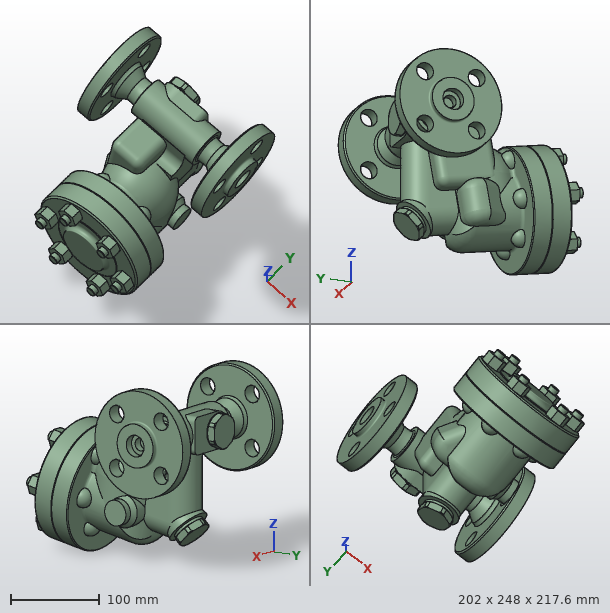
import cadquery as cq
import math

TILT = 10.0
CHAMBER_X = 7.7
CHAMBER_Z = -102.2

PIPE_D = 48.0
PIPE_HALF = 46.4
FACE_TO_FACE = 202.0
END_X = FACE_TO_FACE / 2
FLANGE_OUTER_X = 94.0
FLANGE_INNER_X = 76.9
FLANGE_D = 124.0
FLANGE_CHAMFER = 1.7
RAISED_FACE_D = 50.8
RAISED_FACE_FILLET = 2.0
SHOULDER_D = 38.0
NECK_D = 32.0
NECK_FLARE_D = 33.7
NECK_START_X = 47.5
NECK_X = 54.8
CONE_START_X = 60.0
CONE_END_X = 71.7
HUB_D = 46.5
HUB_ROUND_D = 47.5
HUB_BASE_D = 50.0
HUB_X = 74.0
BOLT_SPACING = 62.7
FLANGE_HOLE_D = 20.0
SOCKET_D = 25.0
SOCKET_DEPTH = 10.0
BORE_D = 15.0
BORE_DEPTH = 19.8

COVER_D = 145.0
BODY_FLANGE_REACH = 93.7
BODY_FLANGE_CHAMFER = 1.2
GASKET_REACH = 116.3
GASKET_THICK = 1.2
GASKET_D = 97.0
COVER_REACH = 141.8
COVER_CHAMFER = 2.0
COVER_PAD_D = 86.8
COVER_PAD_HEIGHT = 1.2
BOSS_D = 60.0
BOSS_REACH = 150.3
BOSS_FILLET = 5.0
BOSS_EDGE = 1.0

STUD_COUNT = 6
UPPER_STUDS = (1, 2)
STUD_CIRCLE_R = 57.0
STUD_D = 12.0
STUD_REACH = 161.2
STUD_CHAMFER = 0.5
NUT_FLATS = 22.0
NUT_HEIGHT = 12.6
UPPER_NUB_R = 12.5
LOWER_NUB_R = 11.7
LOWER_NUB_CIRCLE_R = 44.6

SHELL_R = 45.0
DOME_REACH = 60.3
DOME_Z = -69.5
BOTTOM_START = 16.0
BOTTOM_ROUND = 19.8
FLANGE_ROUND = 3.7

LUG_X = -48.8
LUG_WIDTH = 54.5
LUG_START = 22.8
LUG_ROUND = 20.3
LUG_SLOPE_START = 47.0
LUG_SLOPE_X = -32.2
LUG_END = 74.5
LUG_EDGE = 13.6

OUTLET_REACH = 41.0
OUTLET_D = 30.0
OUTLET_BASE_D = 39.7
OUTLET_BASE_X = 46.4
OUTLET_STEP_X = 52.5
OUTLET_X = 61.2

BLOCK_X = (-37.7, 8.7)
BLOCK_REACH = (-2.5, 70.7)
BLOCK_Z = (-81.8, -3.2)
BLOCK_FILLET = 10.0

NECK_BLOCK_X = (-29.8, 34.5)
DOME_BLEND_R = 12.5
BLEND_OVERLAP = 0.2

COLUMN_Y = -5.2
COLUMN_TOP_Z = -19.8
WEB_TOP_Y = -19.8
WEB_REACH = 29.8
COLUMN_D = PIPE_D
DRAIN_ANGLE = 45.0
DRAIN_FACE_Y = 5.0
DRAIN_FACE_Z = -110.3
DRAIN_BOSS_D = 50.8
DRAIN_BOSS_BASE_D = 44.6
DRAIN_BOSS_LENGTH = 17.4

PLUG_FLATS = 38.0
PLUG_CORNERS = 41.5
PLUG_HEIGHT = 9.0
PLUG_SEAT = 3.5
PLUG_CHAMFER = 1.0
PLUG_SEAT_D = 38.0

PAD_PLUG_X = -16.9
PAD_R = 22.0
PAD_END_X = 24.5
PAD_CORNER = 6.7
PAD_Y = 26.8
PAD_PLUG_HEIGHT = 9.7
PAD_SEAT = 1.2

ARC_MIDDLE = 1 - math.sqrt(0.5)

PICK_MARGIN = 0.2

X_DIR = cq.Vector(1, 0, 0)
REACH_DIR = cq.Vector(0, -1, 0)
BACK_DIR = cq.Vector(0, 1, 0)
UP_DIR = cq.Vector(0, 0, 1)


def cylinder(diameter, start, direction, length):
    return cq.Workplane(obj=cq.Solid.makeCylinder(diameter / 2, length, cq.Vector(*start), direction))


def chamber_cylinder(diameter, start_reach, end_reach):
    return cylinder(diameter, (CHAMBER_X, -start_reach, CHAMBER_Z), REACH_DIR, end_reach - start_reach)


def box(x_range, y_range, z_range):
    sizes = [high - low for low, high in (x_range, y_range, z_range)]
    corner = (x_range[0], y_range[0], z_range[0])
    return cq.Workplane().box(*sizes, centered=False).translate(corner)


def ball(radius, center):
    return cq.Workplane().sphere(radius).translate(center)


def hexagon(flats, height):
    corners = flats / math.cos(math.pi / 6)
    return cq.Workplane().polygon(6, corners).extrude(height)


def tilted_point(reach, height):
    """Y and Z of a chamber-frame point once the chamber is tilted."""
    angle = math.radians(TILT)
    y = -reach * math.cos(angle) + height * math.sin(angle)
    z = reach * math.sin(angle) + height * math.cos(angle)
    return y, z


def pipe_end():
    """Neck, hub and flange on the +X end, turned about X."""
    face_r = RAISED_FACE_D / 2
    flange_r = FLANGE_D / 2
    neck_r = NECK_D / 2
    flare_r = NECK_FLARE_D / 2
    flare_middle = ((NECK_START_X + NECK_X) / 2, neck_r + (flare_r - neck_r) / 4)
    face_arc = RAISED_FACE_FILLET * ARC_MIDDLE
    profile = (
        cq.Workplane("XY")
        .moveTo(PIPE_HALF, 0)
        .lineTo(PIPE_HALF, SHOULDER_D / 2)
        .lineTo(NECK_START_X, flare_r)
        .threePointArc(flare_middle, (NECK_X, neck_r))
        .lineTo(CONE_START_X, neck_r)
        .lineTo(CONE_END_X, HUB_D / 2)
        .lineTo(HUB_X, HUB_ROUND_D / 2)
        .lineTo(FLANGE_INNER_X, HUB_BASE_D / 2)
        .lineTo(FLANGE_INNER_X, flange_r - FLANGE_CHAMFER)
        .lineTo(FLANGE_INNER_X + FLANGE_CHAMFER, flange_r)
        .lineTo(FLANGE_OUTER_X, flange_r)
        .lineTo(FLANGE_OUTER_X, face_r + RAISED_FACE_FILLET)
        .threePointArc(
            (FLANGE_OUTER_X + face_arc, face_r + face_arc),
            (FLANGE_OUTER_X + RAISED_FACE_FILLET, face_r),
        )
        .lineTo(END_X, face_r)
        .lineTo(END_X, 0)
        .close()
    )
    end = profile.revolve(360, (0, 0, 0), (1, 0, 0))
    holes = (
        cq.Workplane("YZ", origin=(FLANGE_INNER_X, 0, 0))
        .rect(BOLT_SPACING, BOLT_SPACING, forConstruction=True)
        .vertices()
        .circle(FLANGE_HOLE_D / 2)
        .extrude(FLANGE_OUTER_X - FLANGE_INNER_X)
    )
    socket = cylinder(SOCKET_D, (END_X, 0, 0), -X_DIR, SOCKET_DEPTH)
    bore = cylinder(BORE_D, (END_X, 0, 0), -X_DIR, BORE_DEPTH)
    return end.cut(holes).cut(socket).cut(bore)


def pipe():
    end = pipe_end()
    barrel = cylinder(PIPE_D, (-PIPE_HALF, 0, 0), X_DIR, 2 * PIPE_HALF)
    return barrel.union(end).union(end.mirror("YZ"))


def plug(height, seat):
    """Hex plug on a round seat, standing on the XY plane with flats facing +-X."""
    rim = cq.Workplane().circle(PLUG_CORNERS / 2).extrude(height).edges().chamfer(PLUG_CHAMFER)
    head = hexagon(PLUG_FLATS, height).rotate((0, 0, 0), (0, 0, 1), 30).intersect(rim)
    return cq.Workplane().circle(PLUG_SEAT_D / 2).extrude(seat).union(head.translate((0, 0, seat)))


def back_pad():
    """Pad behind the pipe: round about its plug, squared off at the +X end."""
    round_end = cylinder(2 * PAD_R, (PAD_PLUG_X, 0, 0), BACK_DIR, PAD_Y)
    bar = box((PAD_PLUG_X, PAD_END_X), (0, PAD_Y), (-PAD_R, PAD_R)).edges("|Y and >X").fillet(PAD_CORNER)
    cap = plug(PAD_PLUG_HEIGHT, PAD_SEAT).rotate((0, 0, 0), (1, 0, 0), -90)
    return round_end.union(bar).union(cap.translate((PAD_PLUG_X, PAD_Y, 0)))


def cover_boss():
    """Low round pad and central boss on the cover, joined by a concave round."""
    boss_r = BOSS_D / 2
    pad_reach = COVER_REACH + COVER_PAD_HEIGHT
    arc = BOSS_FILLET * ARC_MIDDLE
    profile = (
        cq.Workplane("XY", origin=(CHAMBER_X, 0, CHAMBER_Z))
        .moveTo(0, -COVER_REACH)
        .lineTo(COVER_PAD_D / 2, -COVER_REACH)
        .lineTo(COVER_PAD_D / 2, -pad_reach)
        .lineTo(boss_r + BOSS_FILLET, -pad_reach)
        .threePointArc((boss_r + arc, -pad_reach - arc), (boss_r, -pad_reach - BOSS_FILLET))
        .lineTo(boss_r, -BOSS_REACH)
        .lineTo(0, -BOSS_REACH)
        .close()
    )
    boss = profile.revolve(360, (0, 0, 0), (0, 1, 0))
    return boss.faces("<Y").edges().fillet(BOSS_EDGE)


def cover():
    gasket_end = GASKET_REACH + GASKET_THICK
    body_flange = chamber_cylinder(COVER_D, BODY_FLANGE_REACH, GASKET_REACH)
    body_flange = body_flange.faces(">Y").chamfer(BODY_FLANGE_CHAMFER)
    plate = chamber_cylinder(COVER_D, gasket_end, COVER_REACH).faces("<Y").chamfer(COVER_CHAMFER)
    gasket = chamber_cylinder(GASKET_D, GASKET_REACH, gasket_end)
    return body_flange.union(gasket).union(plate).union(cover_boss())


def stud_place(index, radius):
    """X and Z at one stud's angle, at a given radius from the chamber axis."""
    angle = 2 * math.pi * index / STUD_COUNT
    return CHAMBER_X + radius * math.cos(angle), CHAMBER_Z + radius * math.sin(angle)


def stud(index):
    """Stud end with its nut on the cover."""
    x, z = stud_place(index, STUD_CIRCLE_R)
    length = STUD_REACH - BODY_FLANGE_REACH
    pin = cylinder(STUD_D, (x, -BODY_FLANGE_REACH, z), REACH_DIR, length)
    nut = hexagon(NUT_FLATS, NUT_HEIGHT).rotate((0, 0, 0), (1, 0, 0), 90)
    return pin.faces("<Y").chamfer(STUD_CHAMFER).union(nut.translate((x, -COVER_REACH, z)))


def nub(index):
    """Round swelling behind the body flange; those below the dome sit closer in."""
    if index in UPPER_STUDS:
        x, z = stud_place(index, STUD_CIRCLE_R)
        return ball(UPPER_NUB_R, (x, -BODY_FLANGE_REACH, z))
    x, z = stud_place(index, LOWER_NUB_CIRCLE_R)
    return ball(LOWER_NUB_R, (x, -BODY_FLANGE_REACH, z))


def shell():
    dome = ball(SHELL_R, (CHAMBER_X, -DOME_REACH, DOME_Z))
    bottom = chamber_cylinder(2 * SHELL_R, BOTTOM_START, BODY_FLANGE_REACH)
    bottom = bottom.faces(">Y").edges().fillet(BOTTOM_ROUND)
    waist = cylinder(2 * SHELL_R, (CHAMBER_X, -DOME_REACH, CHAMBER_Z), UP_DIR, DOME_Z - CHAMBER_Z)
    plan = cylinder(2 * SHELL_R, (CHAMBER_X, -DOME_REACH, CHAMBER_Z - SHELL_R), UP_DIR, 2 * SHELL_R)
    plan = plan.union(
        box(
            (CHAMBER_X - SHELL_R, CHAMBER_X + SHELL_R),
            (-BODY_FLANGE_REACH, -DOME_REACH),
            (CHAMBER_Z - SHELL_R, CHAMBER_Z + SHELL_R),
        )
    )
    return bottom.intersect(plan).union(dome).union(waist)


def side_lug():
    arc = LUG_ROUND * ARC_MIDDLE
    lug = (
        cq.Workplane("XY", origin=(0, 0, CHAMBER_Z - LUG_WIDTH / 2))
        .moveTo(CHAMBER_X, -LUG_START)
        .lineTo(LUG_X + LUG_ROUND, -LUG_START)
        .threePointArc((LUG_X + arc, -LUG_START - arc), (LUG_X, -LUG_START - LUG_ROUND))
        .lineTo(LUG_X, -LUG_SLOPE_START)
        .lineTo(LUG_SLOPE_X, -LUG_END)
        .lineTo(CHAMBER_X, -LUG_END)
        .close()
        .extrude(LUG_WIDTH)
    )
    outer_edges = cq.selectors.BoxSelector(
        (LUG_X - PICK_MARGIN, -LUG_END + PICK_MARGIN, CHAMBER_Z - LUG_WIDTH),
        (CHAMBER_X - PICK_MARGIN, 0, CHAMBER_Z + LUG_WIDTH),
    )
    return lug.faces("|Z").edges(outer_edges).fillet(LUG_EDGE)


def outlet_boss():
    profile = (
        cq.Workplane("XY", origin=(0, -OUTLET_REACH, CHAMBER_Z))
        .moveTo(CHAMBER_X, 0)
        .lineTo(CHAMBER_X, OUTLET_BASE_D / 2)
        .lineTo(OUTLET_BASE_X, OUTLET_BASE_D / 2)
        .lineTo(OUTLET_STEP_X, OUTLET_D / 2)
        .lineTo(OUTLET_X, OUTLET_D / 2)
        .lineTo(OUTLET_X, 0)
        .close()
    )
    return profile.revolve(360, (0, 0, 0), (1, 0, 0))


def inlet_block():
    block = box(BLOCK_X, (-BLOCK_REACH[1], -BLOCK_REACH[0]), BLOCK_Z)
    return block.edges().fillet(BLOCK_FILLET)


def drain():
    """Column down from the pipe, elbow into the chamber and slanted plug boss."""
    radius = COLUMN_D / 2
    angle = math.radians(TILT)
    elbow_reach = (CHAMBER_Z * math.sin(angle) - COLUMN_Y) / math.cos(angle)
    elbow = tilted_point(elbow_reach, CHAMBER_Z)
    web_end = tilted_point(WEB_REACH, CHAMBER_Z)
    column = cylinder(COLUMN_D, (CHAMBER_X, COLUMN_Y, COLUMN_TOP_Z), -UP_DIR, COLUMN_TOP_Z - elbow[1])
    tube_dir = cq.Vector(0, -math.cos(angle), math.sin(angle))
    tube = cylinder(COLUMN_D, (CHAMBER_X, *elbow), tube_dir, DOME_REACH - elbow_reach)
    web = (
        cq.Workplane("YZ", origin=(CHAMBER_X - radius, 0, 0))
        .polyline([elbow, (COLUMN_Y, 0), (WEB_TOP_Y, 0), web_end])
        .close()
        .extrude(COLUMN_D)
    )
    joint = ball(radius, (CHAMBER_X, *elbow))
    slant = math.radians(DRAIN_ANGLE)
    out = cq.Vector(0, math.cos(slant), -math.sin(slant))
    face = (CHAMBER_X, DRAIN_FACE_Y, DRAIN_FACE_Z)
    cone = cq.Solid.makeCone(
        DRAIN_BOSS_D / 2, DRAIN_BOSS_BASE_D / 2, DRAIN_BOSS_LENGTH, cq.Vector(*face), -out
    )
    outside = cylinder(2 * DRAIN_BOSS_D, face, out, COLUMN_D)
    cap = plug(PLUG_HEIGHT, PLUG_SEAT).rotate((0, 0, 0), (1, 0, 0), -90 - DRAIN_ANGLE)
    body = column.union(tube).union(web).union(joint).cut(outside)
    return body.union(cq.Workplane(obj=cone)).union(cap.translate(face))


def neck_block():
    """Block under the pipe, its front face flowing into the dome by a concave round."""
    front = -PIPE_D / 2 - BLEND_OVERLAP
    dome_r = SHELL_R - BLEND_OVERLAP
    center_y = front - DOME_BLEND_R
    center_span = dome_r + DOME_BLEND_R
    slope = math.acos((center_y + DOME_REACH) / center_span)
    center_z = DOME_Z + center_span * math.sin(slope)
    touch_y = -DOME_REACH + dome_r * math.cos(slope)
    touch_z = DOME_Z + dome_r * math.sin(slope)
    turn = (slope - math.pi) / 2
    middle = (center_y + DOME_BLEND_R * math.cos(turn), center_z + DOME_BLEND_R * math.sin(turn))
    return (
        cq.Workplane("YZ", origin=(NECK_BLOCK_X[0], 0, 0))
        .moveTo(0, 0)
        .lineTo(front, 0)
        .lineTo(front, center_z)
        .threePointArc(middle, (touch_y, touch_z))
        .lineTo(touch_y, DOME_Z)
        .lineTo(0, DOME_Z)
        .close()
        .extrude(NECK_BLOCK_X[1] - NECK_BLOCK_X[0])
    )


def housing():
    """Shell and cover, rounded where the shell meets the back of its flange."""
    pick_r = SHELL_R + PICK_MARGIN
    flange_corner = cq.selectors.BoxSelector(
        (CHAMBER_X - pick_r, -BODY_FLANGE_REACH - PICK_MARGIN, CHAMBER_Z - pick_r),
        (CHAMBER_X + pick_r, -BODY_FLANGE_REACH + PICK_MARGIN, DOME_Z + pick_r),
        boundingbox=True,
    )
    return shell().union(cover()).edges(flange_corner).fillet(FLANGE_ROUND)


chamber = housing()
for feature in (side_lug(), outlet_boss(), inlet_block(), neck_block()):
    chamber = chamber.union(feature)
for stud_index in range(STUD_COUNT):
    chamber = chamber.union(stud(stud_index)).union(nub(stud_index))
chamber = chamber.rotate((0, 0, 0), (1, 0, 0), -TILT)

result = pipe().union(chamber).union(drain()).union(back_pad())